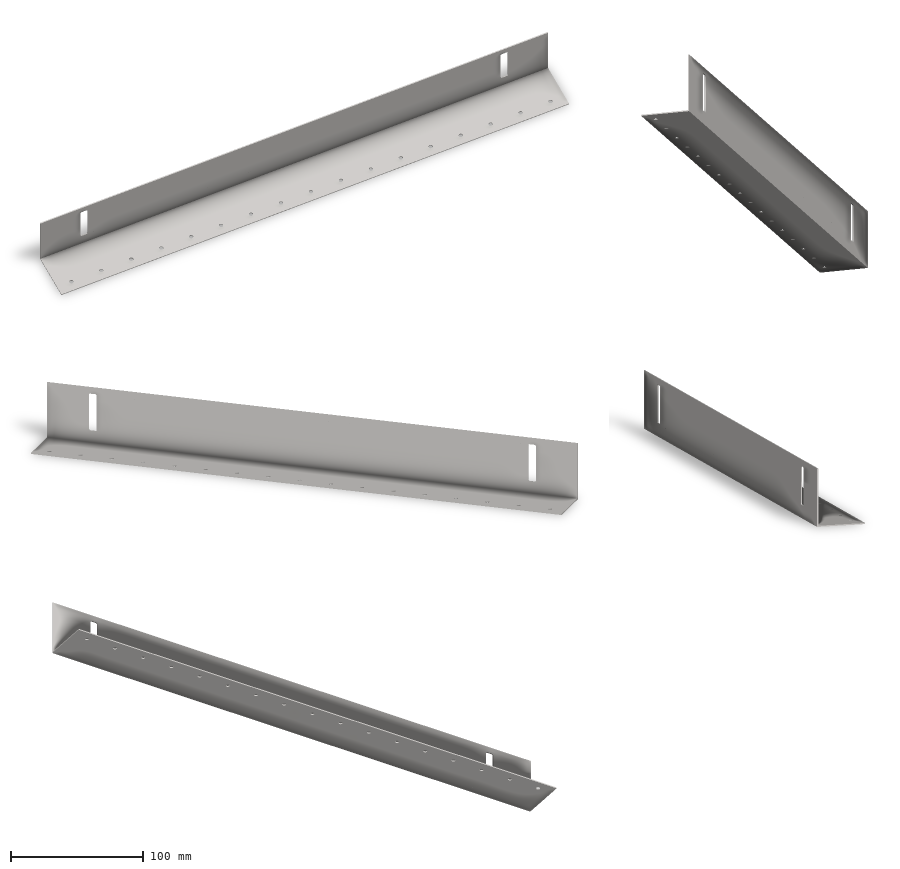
import cadquery as cq

length = 424.0
flange_width = 38.0
wall_height = 45.0
thickness = 0.9

hole_count = 17
hole_pitch = 25.0
hole_diameter = 3.2
hole_edge_distance = 7.5

slot_length = 29.5
slot_width = 6.5
slot_corner_radius = 1.3
slot_end_distance = 36.5
slot_top_gap = 5.0


def make_angle():
    """L-shaped section extruded along Y, centred on Y = 0."""
    flange = cq.Workplane("XY").box(flange_width, length, thickness, centered=(False, True, False))
    wall = cq.Workplane("XY").box(thickness, length, wall_height, centered=(False, True, False))
    return flange.union(wall)


def make_hole_cutters():
    """Cylinders through the flange."""
    hole_x = flange_width - hole_edge_distance
    first_y = -hole_pitch * (hole_count - 1) / 2
    centers = [(hole_x, first_y + i * hole_pitch) for i in range(hole_count)]
    return cq.Workplane("XY").pushPoints(centers).circle(hole_diameter / 2).extrude(thickness)


def make_slot_cutters():
    """Rectangular slots with rounded corners through the wall."""
    slot_y = length / 2 - slot_end_distance
    slot_z = wall_height - slot_top_gap - slot_length / 2
    return (
        cq.Workplane("YZ")
        .pushPoints([(-slot_y, slot_z), (slot_y, slot_z)])
        .rect(slot_width, slot_length)
        .extrude(thickness)
        .edges("|X")
        .fillet(slot_corner_radius)
    )


result = make_angle().cut(make_hole_cutters()).cut(make_slot_cutters())